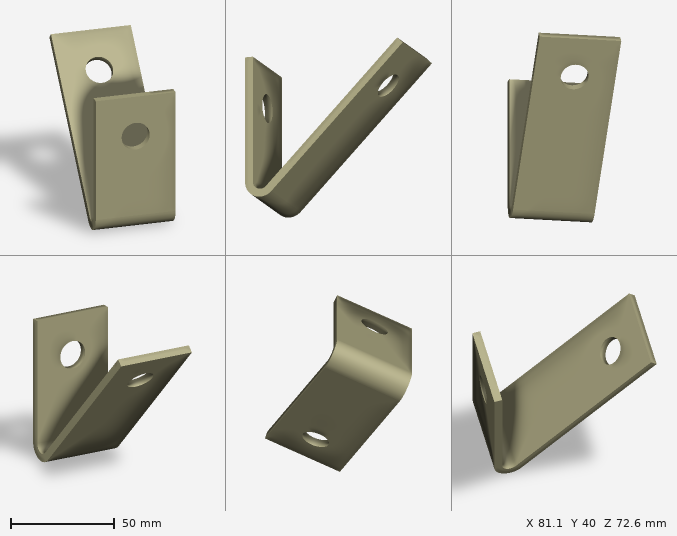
import cadquery as cq
import math

length_x = 81.1
width = 40.0

thickness = 4.0
inner_radius = 4.0
outer_radius = inner_radius + thickness
mid_radius = inner_radius + thickness / 2
lean = math.radians(45)

upright_length = 62.4
upright_hole_diameter = 14.0
upright_hole_drop = 20.75
sloping_hole_diameter = 13.5
sloping_hole_inset = 21.1

outward = (-math.sin(lean), -math.cos(lean))
along = (-math.cos(lean), math.sin(lean))
sloping_length = (length_x - outer_radius * (1 + math.sin(lean))) / math.cos(lean)


def bend_point(radius):
    """Point where the bend meets the sloping leg."""
    return (radius * outward[0], radius * outward[1])


def leg_point(radius, distance):
    """Point on the sloping leg at a distance from the bend."""
    x, z = bend_point(radius)
    return (x + distance * along[0], z + distance * along[1])


def bend_middle(radius):
    """Point halfway around the bend."""
    angle = -(math.pi / 2 + lean) / 2
    return (radius * math.cos(angle), radius * math.sin(angle))


def bent_strip():
    """Upright leg, bend and sloping leg, centred on y = 0."""
    return (
        cq.Workplane("XZ")
        .moveTo(outer_radius, upright_length)
        .lineTo(outer_radius, 0)
        .threePointArc(bend_middle(outer_radius), bend_point(outer_radius))
        .lineTo(*leg_point(outer_radius, sloping_length))
        .lineTo(*leg_point(inner_radius, sloping_length))
        .lineTo(*bend_point(inner_radius))
        .threePointArc(bend_middle(inner_radius), (inner_radius, 0))
        .lineTo(inner_radius, upright_length)
        .close()
        .extrude(width / 2, both=True)
    )


def hole_cutter(diameter, centre, direction):
    """Cylinder through one leg, centred in the sheet thickness."""
    x, z = centre
    plane = cq.Plane(origin=(x, 0, z), xDir=(0, 1, 0), normal=(direction[0], 0, direction[1]))
    return cq.Workplane(plane).workplane(offset=-thickness).circle(diameter / 2).extrude(2 * thickness)


upright_hole = hole_cutter(
    upright_hole_diameter, (mid_radius, upright_length - upright_hole_drop), (1, 0)
)
sloping_hole = hole_cutter(
    sloping_hole_diameter, leg_point(mid_radius, sloping_length - sloping_hole_inset), outward
)
result = bent_strip().cut(upright_hole).cut(sloping_hole)